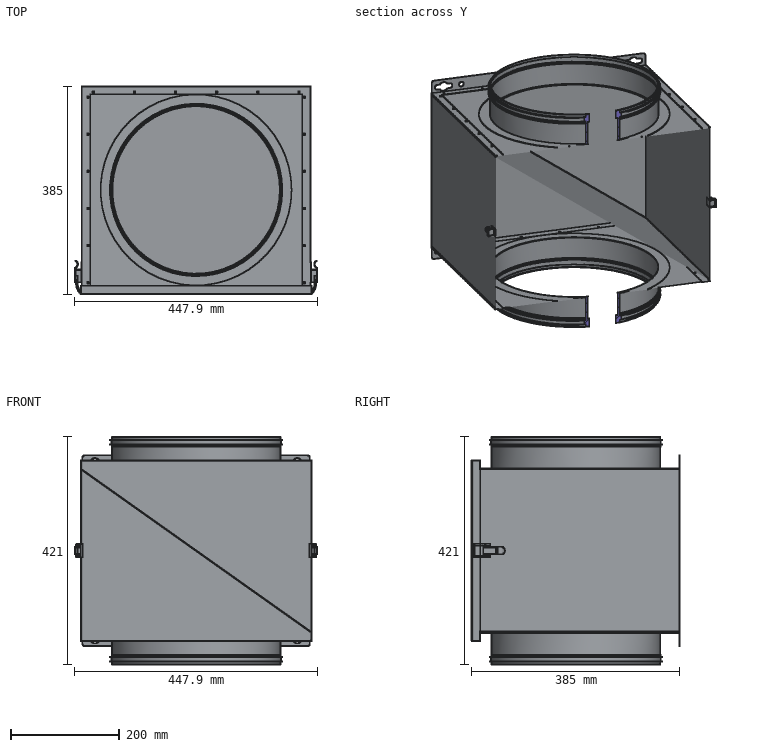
import cadquery as cq

sheet = 1.0

housing_width = 423.0
housing_height = 305.0
cavity_height = housing_height - 4 * sheet
back_y = 192.0
front_y = -193.0
housing_front_y = -189.0

lid_clearance = 1.0
lid_width = housing_width + 2 * (sheet + lid_clearance)
lid_height = 335.0
lid_depth = 16.0
lid_bend_radius = 2.0
lid_inner_y = front_y + sheet
front_flange_height = lid_height - 2 * (sheet + lid_clearance)

rim_width = 15.4
fastener_diameter = 3.3
side_fastener_count = 6
side_fastener_pitch = 68.6
side_fastener_x = 200.0
back_fastener_count = 6
back_fastener_pitch = 76.0
back_fastener_y = 181.0

tab_plate_width = 421.0
tab_plate_height = 353.0
tab_corner_radius = 5.0
mount_z = 162.5
keyhole_x = 187.0
keyhole_slot_length = 34.0
keyhole_slot_width = 9.0
keyhole_round_diameter = 17.0
small_hole_x = 152.0
small_hole_diameter = 9.0

overall_height = 421.0
spigot_top = overall_height / 2
spigot_bore = 310.4
spigot_diameter = spigot_bore + 2 * sheet
spigot_flange_diameter = 353.0
collar_bore = 309.4
collar_depth = 16.0
seal_diameter = 314.0
seal_lip_diameter = 319.0
seal_lip_thickness = 0.8
seal_lip_depths = (5.2, 13.5)
bead_diameter = 313.0
bead_depth = 16.5
bead_height = 2.0
rim_chamfer = 0.8

plate_end_z = 149.5

notch_depth = 6.0
overall_width = 447.9
latch_outer_x = overall_width / 2
latch_sheet = 1.2
latch_width = 14.0
base_back_y = -134.0
base_front_y = -171.0
bracket_back_y = -147.0
lever_bend_y = -144.0
lever_hook_y = -138.0
lever_tip_y = -131.0
lever_hook_inset = 4.5
lever_tip_inset = 0.5
wire_diameter = 3.3
hook_length = 4.0
hook_thickness = 2.0
loop_half_width = 10.85
loop_back_y = -158.5
loop_bend_y = -173.0
loop_inset = 3.5
pin_diameter = 3.5


def box_shell():
    """Sheet box: closed at the back, open at the front."""
    depth = back_y - housing_front_y
    mid_y = (back_y + housing_front_y) / 2
    outer = cq.Workplane("XY").box(housing_width, depth, housing_height).translate((0, mid_y, 0))
    cavity = (
        cq.Workplane("XY")
        .box(housing_width - 2 * sheet, depth, cavity_height)
        .translate((0, mid_y - sheet, 0))
    )
    return outer.cut(cavity)


def panel_recess():
    """Recess in the top panel that leaves the raised rim along the sides and the back."""
    recess_back = back_y - rim_width
    recess_depth = recess_back - housing_front_y
    return (
        cq.Workplane("XY")
        .box(housing_width - 2 * rim_width, recess_depth, sheet, centered=(True, False, False))
        .translate((0, housing_front_y, housing_height / 2 - sheet))
    )


def rim_fastener_holes():
    side_reach = side_fastener_pitch * (side_fastener_count - 1) / 2
    back_reach = back_fastener_pitch * (back_fastener_count - 1) / 2
    side_points = [
        (side * side_fastener_x, index * side_fastener_pitch - side_reach)
        for side in (-1, 1)
        for index in range(side_fastener_count)
    ]
    back_points = [
        (index * back_fastener_pitch - back_reach, back_fastener_y)
        for index in range(back_fastener_count)
    ]
    return (
        cq.Workplane("XY", origin=(0, 0, housing_height / 2 - sheet))
        .pushPoints(side_points + back_points)
        .circle(fastener_diameter / 2)
        .extrude(sheet)
    )


def front_flange():
    """Out-turned flange at the open front, hidden inside the lid."""
    return (
        cq.Workplane("XZ", origin=(0, housing_front_y + sheet, 0))
        .rect(housing_width, front_flange_height)
        .rect(housing_width - 2 * sheet, cavity_height)
        .extrude(sheet)
    )


def back_plate():
    plate = (
        cq.Workplane("XZ", origin=(0, back_y, 0))
        .rect(tab_plate_width, tab_plate_height)
        .extrude(sheet)
        .edges("|Y")
        .fillet(tab_corner_radius)
    )
    keyholes = [(x, z) for x in (-keyhole_x, keyhole_x) for z in (-mount_z, mount_z)]
    small_holes = [(x, z) for x in (-small_hole_x, small_hole_x) for z in (-mount_z, mount_z)]
    face = cq.Workplane("XZ", origin=(0, back_y, 0))
    slots = face.pushPoints(keyholes).slot2D(keyhole_slot_length, keyhole_slot_width).extrude(sheet)
    rounds = face.pushPoints(keyholes).circle(keyhole_round_diameter / 2).extrude(sheet)
    holes = face.pushPoints(small_holes).circle(small_hole_diameter / 2).extrude(sheet)
    return plate.cut(slots).cut(rounds).cut(holes)


def ring(outer_diameter, inner_diameter, bottom_z, height):
    return (
        cq.Workplane("XY", origin=(0, 0, bottom_z))
        .circle(outer_diameter / 2)
        .circle(inner_diameter / 2)
        .extrude(height)
    )


def spigot():
    """Upper spigot: flange, tube, inner collar, bead and two-lipped seal."""
    flange_z = housing_height / 2 - sheet
    tube = ring(spigot_diameter, spigot_bore, flange_z, spigot_top - flange_z)
    outer_rim = cq.selectors.RadiusNthSelector(-1)
    tube = tube.faces(">Z").edges(outer_rim).chamfer(rim_chamfer)
    body = tube.union(ring(spigot_flange_diameter, spigot_bore, flange_z, sheet))
    body = body.union(ring(spigot_bore + sheet, collar_bore, spigot_top - collar_depth, collar_depth))
    body = body.union(ring(bead_diameter, spigot_bore, spigot_top - bead_depth - bead_height, bead_height))
    seal_bottom = spigot_top - seal_lip_depths[1] - seal_lip_thickness
    seal_height = seal_lip_depths[1] - seal_lip_depths[0] + seal_lip_thickness
    body = body.union(ring(seal_diameter, spigot_bore, seal_bottom, seal_height))
    for depth in seal_lip_depths:
        lip_z = spigot_top - depth - seal_lip_thickness
        body = body.union(ring(seal_lip_diameter, spigot_bore, lip_z, seal_lip_thickness))
    return body


def duct_opening():
    return cq.Workplane("XY").circle(spigot_bore / 2).extrude(housing_height / 2)


def diagonal_plate():
    """Sloping plate from the upper left to the lower right of the box."""
    end_x = housing_width / 2 - sheet / 2
    half_thickness = sheet / 2
    return (
        cq.Workplane("XZ", origin=(0, back_y - sheet / 2, 0))
        .moveTo(-end_x, plate_end_z + half_thickness)
        .lineTo(end_x, -plate_end_z + half_thickness)
        .lineTo(end_x, -plate_end_z - half_thickness)
        .lineTo(-end_x, plate_end_z - half_thickness)
        .close()
        .extrude(back_y - sheet / 2 - lid_inner_y)
    )


def make_housing():
    body = box_shell().union(front_flange()).union(back_plate())
    upper_cuts = [panel_recess(), rim_fastener_holes(), duct_opening()]
    for cutter in upper_cuts:
        body = body.cut(cutter).cut(cutter.mirror("XY"))
    body = body.union(spigot()).union(spigot().mirror("XY"))
    return body.union(diagonal_plate())


wall_x = housing_width / 2
hook_x = lid_width / 2 - hook_length / 2
hook_y = front_y + hook_thickness / 2
wire_end_y = front_y + wire_diameter / 2
loop_x = latch_outer_x - loop_inset
loop_width = 2 * loop_half_width + wire_diameter


def latch_base():
    plate = (
        cq.Workplane("XY")
        .box(latch_sheet, base_back_y - base_front_y, latch_width, centered=(False, False, True))
        .translate((wall_x, base_front_y, 0))
    )
    cheek_depth = latch_outer_x - wall_x
    cheek = (
        cq.Workplane("XY")
        .box(cheek_depth, bracket_back_y - base_front_y, latch_sheet, centered=False)
        .translate((wall_x, base_front_y, latch_width / 2 - latch_sheet))
    )
    end_wall = (
        cq.Workplane("XY")
        .box(cheek_depth, latch_sheet, latch_width, centered=(False, False, True))
        .translate((wall_x, bracket_back_y - latch_sheet, 0))
    )
    return plate.union(end_wall).union(cheek).union(cheek.mirror("XY"))


def latch_lever():
    """Flat lever whose free end dips inward and flares back out to a rounded tip."""
    outer = latch_outer_x
    inner = outer - latch_sheet
    strip = (
        cq.Workplane("XY", origin=(0, 0, -latch_width / 2))
        .moveTo(outer, base_front_y)
        .lineTo(outer, lever_bend_y)
        .threePointArc((outer - lever_hook_inset, lever_hook_y), (outer - lever_tip_inset, lever_tip_y))
        .lineTo(inner - lever_tip_inset, lever_tip_y)
        .threePointArc((inner - lever_hook_inset, lever_hook_y), (inner, lever_bend_y))
        .lineTo(inner, base_front_y)
        .close()
        .extrude(latch_width)
    )
    lever_length = lever_tip_y - base_front_y
    rounded_outline = (
        cq.Workplane("YZ", origin=(wall_x, base_front_y, 0))
        .moveTo(0, -latch_width / 2)
        .lineTo(lever_length - latch_width / 2, -latch_width / 2)
        .threePointArc((lever_length, 0), (lever_length - latch_width / 2, latch_width / 2))
        .lineTo(0, latch_width / 2)
        .close()
        .extrude(latch_outer_x - wall_x)
    )
    return strip.intersect(rounded_outline)


def wire_loop():
    """U-shaped wire from the latch pin to a flat hook set into the front corner of the lid."""
    arm = (
        cq.Workplane("XZ", origin=(loop_x, loop_back_y, loop_half_width))
        .circle(wire_diameter / 2)
        .sweep(
            cq.Workplane("XY", origin=(0, 0, loop_half_width))
            .moveTo(loop_x, loop_back_y)
            .lineTo(loop_x, loop_bend_y)
            .tangentArcPoint((hook_x, wire_end_y), relative=False)
        )
    )
    hook = cq.Workplane("XY").box(hook_length, hook_thickness, loop_width).translate((hook_x, hook_y, 0))
    pin = (
        cq.Workplane("XY", origin=(loop_x, base_front_y + pin_diameter, -loop_half_width))
        .circle(pin_diameter / 2)
        .extrude(2 * loop_half_width)
    )
    return arm.union(arm.mirror("XY")).union(hook).union(pin)


def make_latch(side):
    latch = latch_base().union(latch_lever()).union(wire_loop())
    return latch if side > 0 else latch.mirror("YZ")


def make_lid():
    """Shallow cap with rounded front bends and a corner notch for each latch wire."""
    cap = (
        cq.Workplane("XY")
        .box(lid_width, lid_depth, lid_height, centered=(True, False, True))
        .translate((0, front_y, 0))
        .faces("<Y")
        .edges()
        .fillet(lid_bend_radius)
    )
    pocket = (
        cq.Workplane("XY")
        .box(lid_width - 2 * sheet, lid_depth, lid_height - 2 * sheet, centered=(True, False, True))
        .translate((0, lid_inner_y, 0))
    )
    notch = cq.Workplane("XY").box(2 * hook_length, 2 * notch_depth, loop_width)
    cap = cap.cut(pocket)
    for side in (-1, 1):
        cap = cap.cut(notch.translate((side * lid_width / 2, front_y, 0)))
    return cap


housing = make_housing()
lid = make_lid()
latches = [make_latch(side) for side in (-1, 1)]

result = cq.Compound.makeCompound([housing.val(), lid.val(), *[latch.val() for latch in latches]])